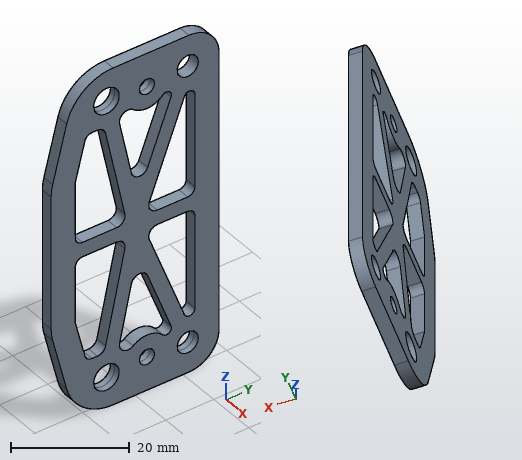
import cadquery as cq
import math

THICKNESS = 2.5
WIDTH = 35.0
HEIGHT = 70.35
BACK_Y = WIDTH / 2
FRONT_Y = -WIDTH / 2
TOP_Z = HEIGHT / 2

BACK_CORNER_RADIUS = 6.3
FRONT_CORNER_RADIUS = 10.0
BEND_Z = 15.05
SLANT_ANGLE = math.radians(14.4)

BACK_HOLE = (11.0, 28.85)
BACK_HOLE_DIAMETER = 4.35
FRONT_HOLE = (-6.0, 28.85)
FRONT_HOLE_DIAMETER = 5.3
SMALL_HOLE = (2.45, 28.2)
SMALL_HOLE_DIAMETER = 3.1

RIM = 5.1
RIB_WIDTH = 3.0
RIB_HALF_WIDTH = RIB_WIDTH / 2
POCKET_TOP_Z = 23.6
POCKET_RADIUS = 1.5
RIB_CORNER_RADIUS = 1.75
TIP_RADIUS = 1.1
BACK_RIB_ANGLE = math.radians(21.2)
FRONT_RIB_ANGLE = math.radians(12.2)
BACK_POCKET_INNER_Y = 2.05
FRONT_POCKET_INNER_Y = -1.7
FRONT_POCKET_BEND_Z = 14.7

COLLAR_RADIUS = 4.6
BACK_EAR_RADIUS = 1.05


def extrude_outline(points):
    """Extrude a polygon of (Y, Z) points through the plate thickness."""
    return cq.Workplane("YZ").polyline(points).close().extrude(THICKNESS / 2, both=True)


def fillet_at(body, point, radius):
    """Round the edge along X that passes nearest to the (Y, Z) point."""
    nearest = cq.selectors.NearestToPointSelector((0, *point))
    return body.edges("|X").edges(nearest).fillet(radius)


def along(start, angle, height):
    """Point reached from start on a line leaning towards +Y, after rising by height."""
    return (start[0] + height * math.tan(angle), start[1] + height)


def make_plate():
    top_front_y = FRONT_Y + (TOP_Z - BEND_Z) * math.tan(SLANT_ANGLE)
    back_top = (BACK_Y, TOP_Z)
    front_top = (top_front_y, TOP_Z)
    bend = (FRONT_Y, BEND_Z)
    upper = [back_top, front_top, bend]
    lower = [(y, -z) for y, z in reversed(upper)]
    plate = extrude_outline(upper + lower)
    for corner, radius in (
        (back_top, BACK_CORNER_RADIUS),
        (front_top, FRONT_CORNER_RADIUS),
        (bend, FRONT_CORNER_RADIUS),
    ):
        for side in (1, -1):
            plate = fillet_at(plate, (corner[0], side * corner[1]), radius)
    return plate


def make_back_pocket():
    outer = (BACK_Y - RIM, RIB_HALF_WIDTH)
    inner = (BACK_POCKET_INNER_Y, RIB_HALF_WIDTH)
    tip = along(inner, BACK_RIB_ANGLE, (outer[0] - inner[0]) / math.tan(BACK_RIB_ANGLE))
    pocket = extrude_outline([outer, inner, tip])
    for corner, radius in ((outer, POCKET_RADIUS), (inner, RIB_CORNER_RADIUS), (tip, TIP_RADIUS)):
        pocket = fillet_at(pocket, corner, radius)
    return pocket


def make_front_pocket():
    inner = (FRONT_POCKET_INNER_Y, RIB_HALF_WIDTH)
    outer = (FRONT_Y + RIM, RIB_HALF_WIDTH)
    bend = (outer[0], FRONT_POCKET_BEND_Z)
    outer_top = along(bend, SLANT_ANGLE, POCKET_TOP_Z - bend[1])
    inner_top = along(inner, -FRONT_RIB_ANGLE, POCKET_TOP_Z - inner[1])
    pocket = extrude_outline([inner, outer, bend, outer_top, inner_top])
    for corner in (inner, inner_top):
        pocket = fillet_at(pocket, corner, RIB_CORNER_RADIUS)
    for corner in (outer, outer_top):
        pocket = fillet_at(pocket, corner, POCKET_RADIUS)
    return pocket


def offset_point(point, direction, distance):
    """Move a point along a unit direction."""
    return (point[0] + distance * direction[0], point[1] + distance * direction[1])


def ear_center(wall_point, wall, inward, radius):
    """Center of the arc that touches a pocket wall and the collar from inside the pocket."""
    start = offset_point(wall_point, inward, radius)
    dy = SMALL_HOLE[0] - start[0]
    dz = SMALL_HOLE[1] - start[1]
    run = dy * wall[0] + dz * wall[1]
    gap = dy * inward[0] + dz * inward[1]
    return offset_point(start, wall, run - math.sqrt((COLLAR_RADIUS + radius) ** 2 - gap ** 2))


def make_middle_pocket():
    back_wall = (math.sin(BACK_RIB_ANGLE), math.cos(BACK_RIB_ANGLE))
    back_inward = (-back_wall[1], back_wall[0])
    front_wall = (-math.sin(FRONT_RIB_ANGLE), math.cos(FRONT_RIB_ANGLE))
    front_inward = (front_wall[1], -front_wall[0])

    back_foot = offset_point((BACK_POCKET_INNER_Y, RIB_HALF_WIDTH), back_inward, RIB_WIDTH)
    front_foot = offset_point((FRONT_POCKET_INNER_Y, RIB_HALF_WIDTH), front_inward, RIB_WIDTH)

    foot_gap = back_foot[0] - front_foot[0]
    level_gap = back_foot[1] - front_foot[1]
    slopes = math.tan(BACK_RIB_ANGLE) + math.tan(FRONT_RIB_ANGLE)
    rise = -(foot_gap + level_gap * math.tan(FRONT_RIB_ANGLE)) / slopes
    bottom = along(back_foot, BACK_RIB_ANGLE, rise)

    back_ear = ear_center(bottom, back_wall, back_inward, BACK_EAR_RADIUS)
    front_ear = ear_center(bottom, front_wall, front_inward, RIB_CORNER_RADIUS)

    def ear_points(center, inward, radius):
        """Wall tangent point, arc middle and collar tangent point of one ear."""
        to_collar = math.atan2(SMALL_HOLE[1] - center[1], SMALL_HOLE[0] - center[0])
        to_wall = math.atan2(-inward[1], -inward[0])
        if to_wall < -math.pi / 2:
            to_wall += 2 * math.pi
        middle = (to_collar + to_wall) / 2
        return [
            offset_point(center, (math.cos(angle), math.sin(angle)), radius)
            for angle in (to_wall, middle, to_collar)
        ]

    back_start, back_middle, back_end = ear_points(back_ear, back_inward, BACK_EAR_RADIUS)
    front_start, front_middle, front_end = ear_points(front_ear, front_inward, RIB_CORNER_RADIUS)
    collar_bottom = (SMALL_HOLE[0], SMALL_HOLE[1] - COLLAR_RADIUS)
    pocket = (
        cq.Workplane("YZ")
        .moveTo(*bottom)
        .lineTo(*back_start)
        .threePointArc(back_middle, back_end)
        .threePointArc(collar_bottom, front_end)
        .threePointArc(front_middle, front_start)
        .close()
        .extrude(THICKNESS / 2, both=True)
    )
    return fillet_at(pocket, bottom, RIB_CORNER_RADIUS)


def make_hole(center, diameter):
    return cq.Workplane("YZ").center(*center).circle(diameter / 2).extrude(THICKNESS / 2, both=True)


openings = [
    make_back_pocket(),
    make_middle_pocket(),
    make_front_pocket(),
    make_hole(BACK_HOLE, BACK_HOLE_DIAMETER),
    make_hole(SMALL_HOLE, SMALL_HOLE_DIAMETER),
    make_hole(FRONT_HOLE, FRONT_HOLE_DIAMETER),
]

result = make_plate()
for opening in openings:
    result = result.cut(opening).cut(opening.mirror("XY"))